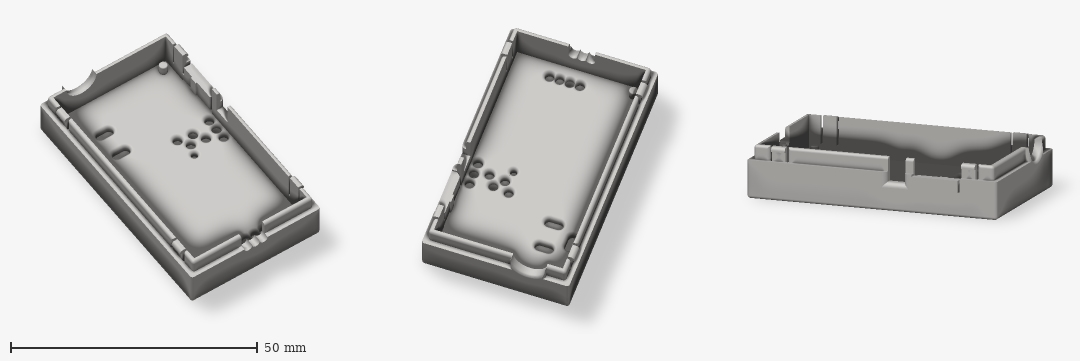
import cadquery as cq
import math

LENGTH = 54.4
WIDTH = 31.75
HEIGHT = 11.0
SHOULDER_Z = 8.0
FLOOR_Z = 3.0
WALL = 2.0
LIP_INSET = 1.1
EDGE_RADIUS = 0.6

HALF_LENGTH = LENGTH / 2
HALF_WIDTH = WIDTH / 2
CAVITY_LENGTH = LENGTH - 2 * WALL
CAVITY_WIDTH = WIDTH - 2 * WALL
LIP_LENGTH = LENGTH - 2 * LIP_INSET
LIP_WIDTH = WIDTH - 2 * LIP_INSET
LIP_HEIGHT = HEIGHT - SHOULDER_Z
CAVITY_Y = CAVITY_WIDTH / 2
LIP_Y = LIP_WIDTH / 2

CLIP_X = 20.65
CLIP_WIDTH = 3.0
CLIP_GAP = 0.5
SLIT_BOTTOM_Z = 5.05
HOOK_REACH = 0.5
HOOK_RADIUS = 0.75
HOOK_BOTTOM_Z = 9.95
WINDOW_WIDTH = CLIP_WIDTH + 2 * CLIP_GAP

CABLE_Y = -6.9
CABLE_Z = 11.1
CABLE_RADIUS = 3.7
CABLE_FLARE = 0.6
CABLE_COLLAR = 7.5

WIRE_RADIUS = 0.95
WIRE_COUNT = 3

SWITCH_LEFT_X = -CLIP_X + CLIP_WIDTH / 2
SWITCH_RIGHT_X = -8.7
SWITCH_Z = 7.55
SWITCH_GAP = 0.5
SWITCH_RELIEF = 0.8
SWITCH_RIB_X = -14.9
SWITCH_RIB_WIDTH = 1.8
SWITCH_RIB_DEPTH = 0.3
PLUG_X = -5.05
PLUG_WIDTH = 3.8
PLUG_Z = 5.9
PLUG_FLARE = 1.05

POCKET_DEPTH = 1.65
POCKET_MOUTH = 0.7
POCKET_RADIUS = 1.0
SMALL_POCKET_RADIUS = 0.7
POINT_RADIUS = 0.25
POINT_DEPTH = 2.2
POINT_START = 1.2
SLOT_TRAVEL = 2.0

ROW_Y = 12.45
ROW_PITCH = 2.55
ROW_X = -5.0
COLUMN_X = 21.9
COLUMN_PITCH = 2.2
COLUMN_Y = 1.35
ROUND_POCKETS = [
    (ROW_X - ROW_PITCH, ROW_Y),
    (ROW_X + ROW_PITCH, ROW_Y),
    (-4.25, 9.35),
    (-4.6, 5.9),
    (-7.0, 4.25),
    (COLUMN_X, COLUMN_Y + 2 * COLUMN_PITCH),
    (COLUMN_X, COLUMN_Y + COLUMN_PITCH),
    (COLUMN_X, COLUMN_Y - COLUMN_PITCH),
]
POINTED_POCKETS = [(ROW_X, ROW_Y), (-6.55, 7.7), (COLUMN_X, COLUMN_Y)]
SMALL_POCKET = (-2.0, 4.95)
UPRIGHT_SLOTS = [(-16.9, -6.9), (-10.95, -6.9)]
CROSS_SLOT = (-14.0, -11.65)

PEG_X = 23.25
PEG_Y = 11.9
PEG_RADIUS = 0.9
PEG_HEIGHT = 2.2
PEG_ROUNDING = 0.2


def span_box(x_range, y_range, z_range):
    """Box between the given limits along X, Y and Z."""
    sizes = [high - low for low, high in (x_range, y_range, z_range)]
    corner = (x_range[0], y_range[0], z_range[0])
    return cq.Workplane("XY").box(*sizes, centered=False).translate(corner)


def make_shell():
    """Thick lower body, solid up to the shoulder."""
    body = cq.Workplane("XY").box(LENGTH, WIDTH, SHOULDER_Z, centered=(True, True, False))
    return body.edges("|Z or <Z").fillet(EDGE_RADIUS)


def make_lip():
    """Solid raised lip, interrupted at the clips and rounded on its outer edges."""
    base = cq.Workplane("XY").workplane(offset=SHOULDER_Z)
    block = base.box(LIP_LENGTH, LIP_WIDTH, LIP_HEIGHT, centered=(True, True, False))
    rounded = block.edges("|Z or >Z").fillet(EDGE_RADIUS)
    plan = block
    for x in (-CLIP_X, CLIP_X):
        x_range = (x - WINDOW_WIDTH / 2, x + WINDOW_WIDTH / 2)
        for y_range in ((CAVITY_Y, HALF_WIDTH), (-HALF_WIDTH, -CAVITY_Y)):
            plan = plan.cut(span_box(x_range, y_range, (SHOULDER_Z, HEIGHT)))
    for face in (">Y", "<Y"):
        plan = plan.faces(face).edges("|Z").fillet(EDGE_RADIUS)
    return plan.intersect(rounded)


def make_clip():
    """Springy tongue with a rounded hook, for the -Y side and centred on X = 0."""
    hook_y = -LIP_Y - HOOK_REACH
    arc_shift = HOOK_RADIUS * (1 - math.sqrt(0.5))
    profile = (
        cq.Workplane("YZ")
        .moveTo(-CAVITY_Y, SLIT_BOTTOM_Z)
        .lineTo(-CAVITY_Y, HEIGHT)
        .lineTo(hook_y + HOOK_RADIUS, HEIGHT)
        .threePointArc((hook_y + arc_shift, HEIGHT - arc_shift), (hook_y, HEIGHT - HOOK_RADIUS))
        .lineTo(hook_y, HOOK_BOTTOM_Z)
        .lineTo(-LIP_Y, HOOK_BOTTOM_Z)
        .lineTo(-LIP_Y, SLIT_BOTTOM_Z)
        .close()
    )
    return profile.extrude(CLIP_WIDTH / 2, both=True)


def add_clips(body):
    """Cut a slit on each side of every clip and set the clip between them."""
    front_clip = make_clip()
    window = span_box(
        (-WINDOW_WIDTH / 2, WINDOW_WIDTH / 2), (-LIP_Y, -CAVITY_Y), (SLIT_BOTTOM_Z, HEIGHT)
    )
    for x in (-CLIP_X, CLIP_X):
        for turn in (0, 180):
            place = cq.Location(cq.Vector(x, 0, 0), cq.Vector(0, 0, 1), turn)
            body = body.cut(cq.Workplane(window.val().moved(place)))
            body = body.union(cq.Workplane(front_clip.val().moved(place)))
    return body


def cut_cable_entry(body):
    """Carry the full wall up to the rim and cut the flared round entry."""
    y_range = (CABLE_Y - CABLE_COLLAR / 2, CABLE_Y + CABLE_COLLAR / 2)
    inner_x = -CAVITY_LENGTH / 2
    collar = span_box((-HALF_LENGTH, inner_x), y_range, (SHOULDER_Z, HEIGHT))
    collar = collar.faces("<X").edges("|Z").fillet(EDGE_RADIUS)
    arc_shift = CABLE_FLARE * (1 - math.sqrt(0.5))
    bore = (
        cq.Workplane("XY")
        .moveTo(-HALF_LENGTH, 0)
        .lineTo(-HALF_LENGTH, CABLE_RADIUS + CABLE_FLARE)
        .threePointArc(
            (-HALF_LENGTH + arc_shift, CABLE_RADIUS + arc_shift),
            (-HALF_LENGTH + CABLE_FLARE, CABLE_RADIUS),
        )
        .lineTo(inner_x, CABLE_RADIUS)
        .lineTo(inner_x, 0)
        .close()
        .revolve(360, (0, 0, 0), (1, 0, 0))
        .translate((0, CABLE_Y, CABLE_Z))
    )
    return body.union(collar).cut(bore)


def cut_wire_outlet(body):
    """Open the wall down to the shoulder and scallop it for the wires."""
    half_opening = WIRE_COUNT * WIRE_RADIUS
    x_range = (CAVITY_LENGTH / 2, HALF_LENGTH)
    body = body.cut(span_box(x_range, (-half_opening, half_opening), (SHOULDER_Z, HEIGHT)))
    for index in range(WIRE_COUNT):
        y = (2 * index + 1) * WIRE_RADIUS - half_opening
        groove = cq.Workplane("YZ", origin=(x_range[0], y, SHOULDER_Z)).circle(WIRE_RADIUS)
        body = body.cut(groove.extrude(WALL))
    return body


def cut_switch_opening(body):
    """Lower the wall for the switch, with a relief at the post, an undercut and an inner rib."""
    wall_y = (CAVITY_Y, HALF_WIDTH)
    body = body.cut(span_box((SWITCH_LEFT_X, SWITCH_RIGHT_X), wall_y, (SWITCH_Z, HEIGHT)))
    slit_x = (SWITCH_LEFT_X, SWITCH_LEFT_X + CLIP_GAP)
    body = body.cut(span_box(slit_x, wall_y, (SLIT_BOTTOM_Z, HEIGHT)))
    relief = (
        cq.Workplane("XY", origin=(SWITCH_RIGHT_X, CAVITY_Y, FLOOR_Z))
        .polyline([(0, 0), (0, SWITCH_RELIEF), (-SWITCH_RELIEF, 0)])
        .close()
        .extrude(HEIGHT - FLOOR_Z)
    )
    undercut = span_box(
        (SWITCH_LEFT_X, SWITCH_RIGHT_X), (CAVITY_Y, LIP_Y), (FLOOR_Z, FLOOR_Z + SWITCH_GAP)
    )
    half_rib = SWITCH_RIB_WIDTH / 2
    rib = span_box(
        (SWITCH_RIB_X - half_rib, SWITCH_RIB_X + half_rib),
        (CAVITY_Y - SWITCH_RIB_DEPTH, CAVITY_Y),
        (FLOOR_Z + SWITCH_GAP, SWITCH_Z),
    )
    return body.cut(relief).cut(undercut).union(rib)


def cut_plug_opening(body):
    """U-shaped opening whose outer edges are flared below the shoulder."""
    x_range = (PLUG_X - PLUG_WIDTH / 2, PLUG_X + PLUG_WIDTH / 2)
    body = body.cut(span_box(x_range, (CAVITY_Y, HALF_WIDTH), (PLUG_Z, HEIGHT)))
    margin = 0.05
    outer_edges = cq.selectors.BoxSelector(
        (x_range[0] - margin, HALF_WIDTH - margin, PLUG_Z - margin),
        (x_range[1] + margin, HALF_WIDTH + margin, SHOULDER_Z - margin),
    )
    return body.edges(outer_edges).fillet(PLUG_FLARE)


def mouth_outline(radius, side_depth):
    """Open half section from the origin out to the rounded mouth and down the side."""
    arc_shift = POCKET_MOUTH * (1 - math.sqrt(0.5))
    return (
        cq.Workplane("XZ")
        .lineTo(radius + POCKET_MOUTH, 0)
        .threePointArc((radius + arc_shift, -arc_shift), (radius, -POCKET_MOUTH))
        .lineTo(radius, -side_depth)
    )


def flat_profile(radius):
    """Half section of a flat-bottomed pocket."""
    return mouth_outline(radius, POCKET_DEPTH).lineTo(0, -POCKET_DEPTH).close()


def pointed_profile():
    """Half section of a pocket that tapers to a small flat tip."""
    outline = mouth_outline(POCKET_RADIUS, POINT_START)
    return outline.lineTo(POINT_RADIUS, -POINT_DEPTH).lineTo(0, -POINT_DEPTH).close()


def turned(profile):
    """Round pocket swept from a half section about the Z axis."""
    return profile.revolve(360, (0, 0, 0), (0, 1, 0))


def slot_pocket():
    """Slot along Y with its mouth at Z = 0."""
    end = turned(flat_profile(POCKET_RADIUS))
    half_middle = flat_profile(POCKET_RADIUS).extrude(SLOT_TRAVEL / 2, both=True)
    slot = half_middle.union(half_middle.mirror("YZ"))
    for y in (-SLOT_TRAVEL / 2, SLOT_TRAVEL / 2):
        slot = slot.union(end.translate((0, y, 0)))
    return slot


def cut_floor_pockets(body):
    """Sink all pockets into the floor, keeping the side walls whole."""
    plain = turned(flat_profile(POCKET_RADIUS))
    pointed = turned(pointed_profile())
    small = turned(flat_profile(SMALL_POCKET_RADIUS))
    upright = slot_pocket()
    cross = upright.rotate((0, 0, 0), (0, 0, 1), 90)
    placed = [(plain, spot) for spot in ROUND_POCKETS]
    placed += [(pointed, spot) for spot in POINTED_POCKETS]
    placed += [(upright, spot) for spot in UPRIGHT_SLOTS]
    placed += [(small, SMALL_POCKET), (cross, CROSS_SLOT)]
    inside = cq.Workplane("XY").box(
        CAVITY_LENGTH, CAVITY_WIDTH, HEIGHT, centered=(True, True, False)
    )
    for pocket, (x, y) in placed:
        body = body.cut(pocket.translate((x, y, FLOOR_Z)).intersect(inside))
    return body


def add_pegs(body):
    """Two round-topped pegs in opposite corners."""
    for x, y in ((-PEG_X, PEG_Y), (PEG_X, -PEG_Y)):
        peg = cq.Workplane("XY", origin=(x, y, FLOOR_Z)).circle(PEG_RADIUS).extrude(PEG_HEIGHT)
        body = body.union(peg.faces(">Z").edges().fillet(PEG_ROUNDING))
    return body


cavity = (
    cq.Workplane("XY")
    .workplane(offset=FLOOR_Z)
    .box(CAVITY_LENGTH, CAVITY_WIDTH, HEIGHT, centered=(True, True, False))
)
tray = make_shell().union(make_lip()).cut(cavity)
tray = cut_plug_opening(tray)
tray = add_clips(tray)
tray = cut_cable_entry(tray)
tray = cut_wire_outlet(tray)
tray = cut_switch_opening(tray)
tray = cut_floor_pockets(tray)
result = add_pegs(tray)